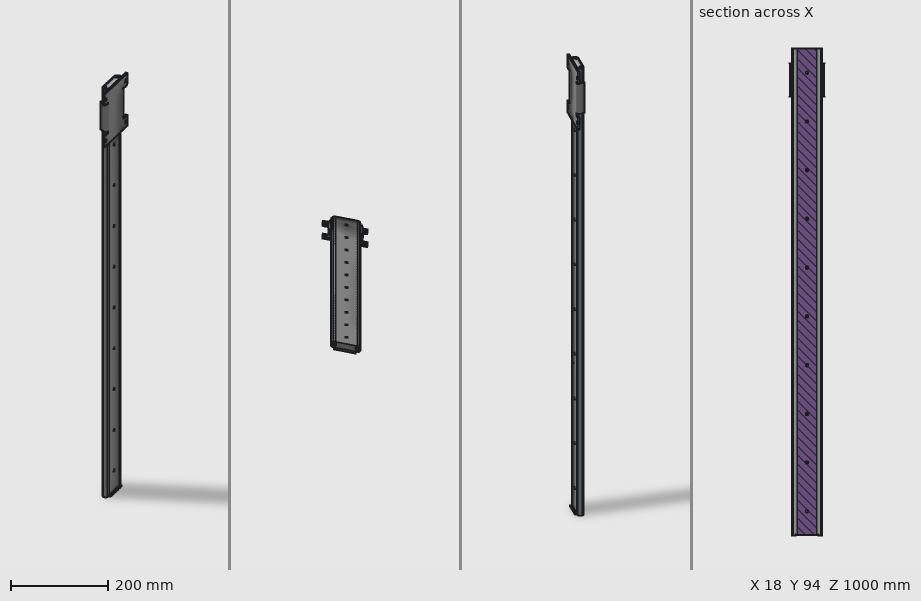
import cadquery as cq
import math

length = 1000.0
total_depth = 18.0

sheet = 2.0
panel_half_width = 23.0

rail_depth = 14.0
bead_half_width = 31.0
bead_back = rail_depth - 0.5
bead_root_y = 20.0
shoulder_depth = 1.5
shoulder_inset = 3.2
corner_depth = 5.0
corner_inset = 0.4
crest_depth = 8.0
bead_back_inset = 3.0
cavity_width = 4.0
cavity_length = 8.0
cavity_depth = 7.0
cavity_y = 24.0

screw_diameter = 5.0
screw_pitch = 100.0
screw_count = 10
first_screw_z = screw_pitch / 2

bracket_sheet = total_depth - rail_depth
bracket_half_width = 47.0
ear_hole_diameter = 6.0
ear_hole_y = 41.0
upper_ear_hole_z = 984.0
lower_ear_hole_z = upper_ear_hole_z - 100.0
ear_reach = 13.0
ear_corner_radius = 5.0
arm_bottom = 901.0
arm_top = 969.0
arm_half_width = 36.0
arm_inner_bend = 1.0
arm_outer_bend = arm_inner_bend + bracket_sheet
waist_half_width = arm_half_width - arm_outer_bend
lip_angle = math.radians(30)
lip_start_depth = 6.0
lip_bend = bracket_sheet


def box(x0, x1, half_width, z0, z1):
    """Box centred across Y, between two depths and two heights."""
    return cq.Workplane("XY").box(x1 - x0, 2 * half_width, z1 - z0, centered=(False, True, False)).translate(
        (x0, 0, z0)
    )


def mirrored_pair(shape):
    """The shape joined with its mirror image across the XZ plane."""
    return shape.union(shape.mirror("XZ"))


def screw_holes():
    """Cutters for the row of screw holes, long enough to pass through panel and rail."""
    places = [(0, first_screw_z + i * screw_pitch) for i in range(screw_count)]
    return cq.Workplane("YZ").pushPoints(places).circle(screw_diameter / 2).extrude(rail_depth)


def make_panel():
    """Front sheet with a rounded bend at the bottom into the foot."""
    front = box(0, sheet, panel_half_width, 0, length)
    foot = box(0, total_depth, panel_half_width, 0, sheet)
    bent_sheet = front.union(foot).edges("<X and <Z").fillet(sheet)
    return bent_sheet.cut(screw_holes())


def make_bead():
    """Hollow bead on the +Y side, wrapping the panel's edge at the front."""
    shoulder_y = bead_half_width - shoulder_inset
    shoulder_middle = (shoulder_depth / 4, (panel_half_width + shoulder_y) / 2)
    return (
        cq.Workplane("XY")
        .moveTo(sheet, bead_root_y)
        .lineTo(sheet, panel_half_width)
        .lineTo(0, panel_half_width)
        .threePointArc(shoulder_middle, (shoulder_depth, shoulder_y))
        .lineTo(corner_depth, bead_half_width - corner_inset)
        .threePointArc((crest_depth, bead_half_width), (bead_back, bead_half_width - bead_back_inset))
        .lineTo(bead_back, bead_root_y)
        .close()
        .extrude(length)
    )


def make_rail():
    """Core standing on the foot, with full-length beads and a cavity along each bead."""
    core = box(sheet, rail_depth, bead_root_y, sheet, length)
    cavities = (
        cq.Workplane("XY")
        .pushPoints([(cavity_depth, -cavity_y), (cavity_depth, cavity_y)])
        .slot2D(cavity_length, cavity_width, 90)
        .extrude(length)
    )
    foot_recess = box(0, total_depth, panel_half_width, 0, sheet)
    beads = mirrored_pair(make_bead()).cut(foot_recess)
    return core.union(beads).cut(cavities).cut(screw_holes())


def make_arm():
    """Spring arm on the +Y side: bent up from the plate, its lip leaning in over the bead."""
    bend_x = total_depth - arm_outer_bend
    bend_y = waist_half_width
    outer_slant = arm_outer_bend * math.sqrt(0.5)
    inner_slant = arm_inner_bend * math.sqrt(0.5)
    lip_tip_y = arm_half_width - lip_start_depth * math.tan(lip_angle)
    lip_end_x = bracket_sheet * math.sin(lip_angle)
    lip_end_y = lip_tip_y - bracket_sheet * math.cos(lip_angle)
    inner_wall_y = arm_half_width - bracket_sheet
    inner_knee_x = lip_start_depth + bracket_sheet * math.tan(lip_angle / 2)
    arm = (
        cq.Workplane("XY", origin=(0, 0, arm_bottom))
        .moveTo(total_depth, bend_y)
        .threePointArc((bend_x + outer_slant, bend_y + outer_slant), (bend_x, arm_half_width))
        .lineTo(lip_start_depth, arm_half_width)
        .lineTo(0, lip_tip_y)
        .lineTo(lip_end_x, lip_end_y)
        .lineTo(inner_knee_x, inner_wall_y)
        .lineTo(bend_x, inner_wall_y)
        .threePointArc((bend_x + inner_slant, bend_y + inner_slant), (rail_depth, bend_y))
        .close()
        .extrude(arm_top - arm_bottom)
    )
    knee = cq.selectors.NearestToPointSelector((lip_start_depth, arm_half_width, (arm_bottom + arm_top) / 2))
    return arm.edges("|Z").edges(knee).fillet(lip_bend)


def make_plate():
    """Bracket back plate: a waist between two pairs of drilled ears."""
    plate_bottom = lower_ear_hole_z - ear_reach
    lower_ear_top = lower_ear_hole_z + ear_reach
    upper_ear_bottom = upper_ear_hole_z - ear_reach
    upper_ears = box(rail_depth, total_depth, bracket_half_width, upper_ear_bottom, length)
    upper_ears = upper_ears.edges("|X and <Z").fillet(ear_corner_radius)
    lower_ears = box(rail_depth, total_depth, bracket_half_width, plate_bottom, lower_ear_top)
    waist = box(rail_depth, total_depth, waist_half_width, plate_bottom, length)
    hole_heights = (lower_ear_hole_z, upper_ear_hole_z)
    holes = (
        cq.Workplane("YZ", origin=(rail_depth, 0, 0))
        .pushPoints([(y, z) for y in (-ear_hole_y, ear_hole_y) for z in hole_heights])
        .circle(ear_hole_diameter / 2)
        .extrude(bracket_sheet)
    )
    return waist.union(upper_ears).union(lower_ears).cut(holes)


def make_bracket():
    """Back plate with a spring arm on each side."""
    return make_plate().union(mirrored_pair(make_arm()))


panel = make_panel()
rail = make_rail()
bracket = make_bracket()

result = cq.Compound.makeCompound([panel.val(), rail.val(), bracket.val()])